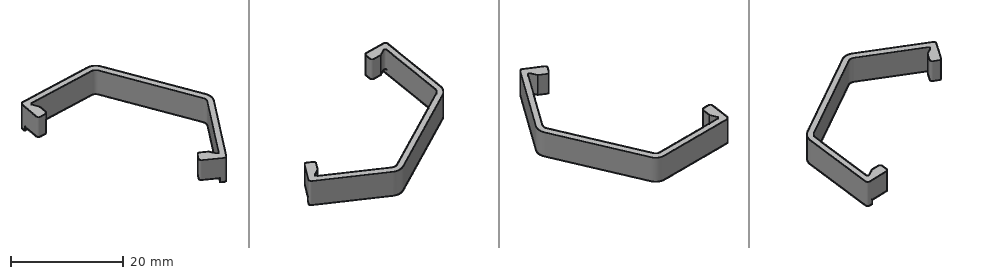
import math

import cadquery as cq

overall_width = 39.09
overall_depth = 16.68
height = 5.8

wall = 1.2
leg_angle = math.radians(60)
bend_inner_radius = 1.2
bend_outer_radius = bend_inner_radius + wall

hook_length = 5.0
hook_thickness = 2.1
hook_radius = 0.5
nook_radius = 0.3
nook_rise = 0.37
relief_height = 1.0

leg_x = math.cos(leg_angle)
leg_y = math.sin(leg_angle)
hook_x = leg_y
hook_y = -leg_x

corner_setback = hook_radius * (leg_x + leg_y - 1)

heel_x = -overall_width / 2 - corner_setback
heel_y = -corner_setback - hook_length * hook_y


def from_heel(along_hook, along_leg):
    """Point reached from the heel by moving along the hook, then along the leg."""
    return (
        heel_x + along_hook * hook_x + along_leg * leg_x,
        heel_y + along_hook * hook_y + along_leg * leg_y,
    )


heel = from_heel(0, 0)
toe = from_heel(hook_length, 0)
tip = from_heel(hook_length, hook_thickness)
shoulder = from_heel((nook_rise - hook_thickness * leg_y) / hook_y, hook_thickness)
nook = from_heel(wall, (nook_rise - wall * hook_y) / leg_y)
outer_bend = from_heel(0, (overall_depth - heel_y) / leg_y)
inner_bend = from_heel(wall, (overall_depth - wall - heel_y - wall * hook_y) / leg_y)


def round_corner(body, corner, radius):
    """Round the upright edge that stands on the given corner."""
    nearest = cq.selectors.NearestToPointSelector((*corner, height / 2))
    return body.edges("|Z").edges(nearest).fillet(radius)


def make_half_strip():
    """Left half of the clip at full height, with all upright edges rounded."""
    middle_inner = (0, overall_depth - wall)
    middle_outer = (0, overall_depth)
    outline = [heel, toe, tip, shoulder, nook, inner_bend, middle_inner, middle_outer, outer_bend]
    body = cq.Workplane("XY").polyline(outline).close().extrude(height)
    body = round_corner(body, outer_bend, bend_outer_radius)
    body = round_corner(body, inner_bend, bend_inner_radius)
    body = round_corner(body, nook, nook_radius)
    for corner in (heel, toe, tip):
        body = round_corner(body, corner, hook_radius)
    return body


def make_hook_relief():
    """Cutter that removes the bottom of the hook, flush with the leg's inner face."""
    outline = [
        from_heel(wall, -wall),
        from_heel(wall + hook_length, -wall),
        from_heel(wall + hook_length, hook_thickness + wall),
        from_heel(wall, hook_thickness + wall),
    ]
    return cq.Workplane("XY").polyline(outline).close().extrude(relief_height)


left_half = make_half_strip().cut(make_hook_relief())
result = left_half.union(left_half.mirror("YZ")).clean()